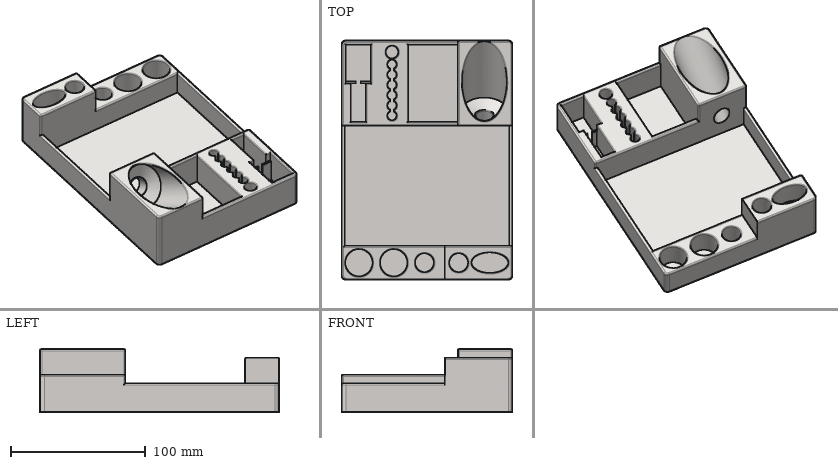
import math
import cadquery as cq

length_x = 127.0
length_y = 177.8
wall = 2.54
floor = 2.54
corner_radius = 3.175
edge_radius = 1.27
rim_radius = 0.635

tray_height = 21.59
rear_height = 27.94
front_block_height = 40.64
tower_height = 46.99
rear_depth = 63.5
rear_y = length_y - rear_depth
front_depth = 25.4
front_block_x = 76.84
tower_x = 86.36

front_row_y = front_depth / 2
large_hole_diameter = 20.32
small_hole_diameter = 14.03
large_hole_xs = (12.9, 38.74)
small_hole_low_x = 61.6
small_hole_high_x = 87.0
oval_x = 110.2
oval_length = 27.4
oval_width = 15.24

pocket_y0 = rear_y + wall + rim_radius
pocket_y1 = length_y - wall - rim_radius
box_pocket_x = 49.53
slot_x = 12.5
wide_slot_width = 18.6
narrow_slot_width = 11.0
slot_step_y = 146.05
lip_thickness = 1.27
lip_gap = 3.81
lip_top = 20.32

bit_x = 37.465
bit_first_y = 121.92
bit_pitch = 7.62
bit_count = 6
bit_diameter = 6.86
bit_groove_width = 2.54
driver_diameter = 9.43
driver_y = 169.2

funnel_diameter = 33.27
bore_diameter = 13.0
funnel_slope = math.radians(35.0)
funnel_x = 106.1
mouth_y = 148.3
barrel_length = 27.43
cone_length = 4.43
mouth_overrun = 40.0
bore_length = 16.0


def block(x0, x1, y0, y1, z0, z1):
    return cq.Workplane("XY").box(x1 - x0, y1 - y0, z1 - z0, centered=False).translate((x0, y0, z0))


def base():
    """Tray body, reaching into the front wall of the rear block."""
    body = block(0, length_x, 0, rear_y + wall, 0, tray_height)
    body = body.edges("|Z and <Y").fillet(corner_radius)
    return body.faces(">Z").edges("not(>Y)").fillet(edge_radius)


def tray_cavity():
    """Open tray whose left, right and front top edges flare out with a rounded rim."""
    x0, x1 = wall, length_x - wall
    y0, y1 = front_depth, rear_y
    z0 = tray_height - edge_radius
    flare_x0, flare_x1 = x0 - edge_radius, x1 + edge_radius
    flare_y0 = y0 - edge_radius
    flare = block(flare_x0, flare_x1, flare_y0, y1, z0, tray_height)
    for x in (flare_x0, flare_x1):
        side_round = cq.Workplane("XZ").center(x, z0).circle(edge_radius).extrude(-length_y)
        flare = flare.cut(side_round)
    front_round = cq.Workplane("YZ").center(flare_y0, z0).circle(edge_radius).extrude(length_x)
    return block(x0, x1, y0, y1, floor, tray_height).union(flare.cut(front_round))


def stepped_slot():
    """Wide slot narrowing at a step."""
    wide = wide_slot_width / 2
    narrow = narrow_slot_width / 2
    pocket = block(slot_x - wide, slot_x + wide, slot_step_y, pocket_y1, floor, rear_height)
    return pocket.union(block(slot_x - narrow, slot_x + narrow, pocket_y0, slot_step_y, floor, rear_height))


def slot_lip():
    """Low wall across the wide slot, split by a gap in the middle."""
    half = wide_slot_width / 2
    y1 = slot_step_y + lip_thickness
    lip = block(slot_x - half, slot_x + half, slot_step_y, y1, floor, lip_top)
    return lip.cut(block(slot_x - lip_gap / 2, slot_x + lip_gap / 2, slot_step_y, y1, floor, lip_top))


def box_pocket():
    """Deep pocket that runs on below the tower, which closes its right side."""
    return block(box_pocket_x, tower_x + wall, pocket_y0, pocket_y1, floor, rear_height)


def rear_block():
    body = block(0, length_x, rear_y, length_y, 0, rear_height)
    body = body.edges("|Z and >Y").fillet(corner_radius)
    body = body.edges("|Z and <Y").fillet(edge_radius)
    body = body.faces(">Z").edges().fillet(edge_radius)
    body = body.cut(stepped_slot()).cut(box_pocket())
    pocket_rims = cq.selectors.BoxSelector(
        (wall, rear_y + wall, rear_height - rim_radius),
        (length_x - wall, length_y - wall, rear_height + rim_radius),
    )
    return body.edges(pocket_rims).fillet(rim_radius).union(slot_lip())


def funnel():
    """Sloping barrel, steep cone and outlet bore, turned about one inclined axis."""
    barrel_r = funnel_diameter / 2
    bore_r = bore_diameter / 2
    cone_end = barrel_length + cone_length
    outlet_end = cone_end + bore_length
    turn = rim_radius * (1 - math.sqrt(0.5))
    axis_plane = cq.Plane(
        origin=(funnel_x, mouth_y, tower_height),
        xDir=(0, math.sin(funnel_slope), -math.cos(funnel_slope)),
        normal=(1, 0, 0),
    )
    profile = (
        cq.Workplane(axis_plane).moveTo(0, mouth_overrun).lineTo(barrel_r, mouth_overrun)
        .lineTo(barrel_r, -barrel_length).lineTo(bore_r + rim_radius, -cone_end)
        .threePointArc((bore_r + turn, -cone_end - turn), (bore_r, -cone_end - rim_radius))
        .lineTo(bore_r, -outlet_end).lineTo(0, -outlet_end).close()
    )
    return profile.revolve(360, (0, 0, 0), (0, 1, 0))


def tower():
    """Tall block with rounded edges and the funnel, whose mouth has a rounded rim."""
    plain = block(tower_x, length_x, rear_y, length_y, 0, tower_height)
    bored = plain.cut(funnel())
    bored = bored.faces(">Z").edges("%ELLIPSE").fillet(rim_radius)
    body = plain.edges("|Z and >Y and >X").fillet(corner_radius)
    body = body.edges("(|Z and <Y) or (|Z and <X)").fillet(edge_radius)
    body = body.faces(">Z").edges().fillet(edge_radius)
    return body.intersect(bored)


def oval_hole():
    outline = cq.Workplane("XY").ellipse(oval_length / 2, oval_width / 2)
    return outline.extrude(front_block_height - floor).translate((oval_x, front_row_y, floor))


def front_block():
    body = block(front_block_x, length_x, 0, front_depth, 0, front_block_height)
    body = body.edges("|Z and <Y and >X").fillet(corner_radius)
    body = body.edges("|Z and >Y and >X").fillet(edge_radius)
    body = body.faces(">Z").edges("not(<X)").fillet(edge_radius)
    body = body.cut(oval_hole())
    return body.faces(">Z").edges("%ELLIPSE").fillet(rim_radius)


def rim_profile(half_width, top):
    """Half section of a blind opening with a rounded rim, drawn from its centre line."""
    turn = rim_radius * (1 - math.sqrt(0.5))
    return (
        cq.Workplane("XZ").moveTo(0, floor).lineTo(half_width, floor).lineTo(half_width, top - rim_radius)
        .threePointArc((half_width + turn, top - turn), (half_width + rim_radius, top))
        .lineTo(0, top).close()
    )


def round_hole(x, y, diameter, top):
    hole = rim_profile(diameter / 2, top).revolve(360, (0, 0, 0), (0, 1, 0))
    return hole.translate((x, y, 0))


def bit_rack():
    """Row of bit holes joined by a narrow groove, with a larger driver hole behind."""
    run = (bit_count - 1) * bit_pitch
    half_groove = rim_profile(bit_groove_width / 2, rear_height).extrude(-run)
    groove = half_groove.union(half_groove.mirror("YZ"))
    rack = groove.translate((bit_x, bit_first_y, 0))
    for i in range(bit_count):
        rack = rack.union(round_hole(bit_x, bit_first_y + i * bit_pitch, bit_diameter, rear_height))
    return rack.union(round_hole(bit_x, driver_y, driver_diameter, rear_height))


result = base().cut(tray_cavity()).union(rear_block()).cut(funnel())
result = result.union(tower()).union(front_block())
for x in large_hole_xs:
    result = result.cut(round_hole(x, front_row_y, large_hole_diameter, tray_height))
result = result.cut(round_hole(small_hole_low_x, front_row_y, small_hole_diameter, tray_height))
result = result.cut(round_hole(small_hole_high_x, front_row_y, small_hole_diameter, front_block_height))
result = result.cut(bit_rack())